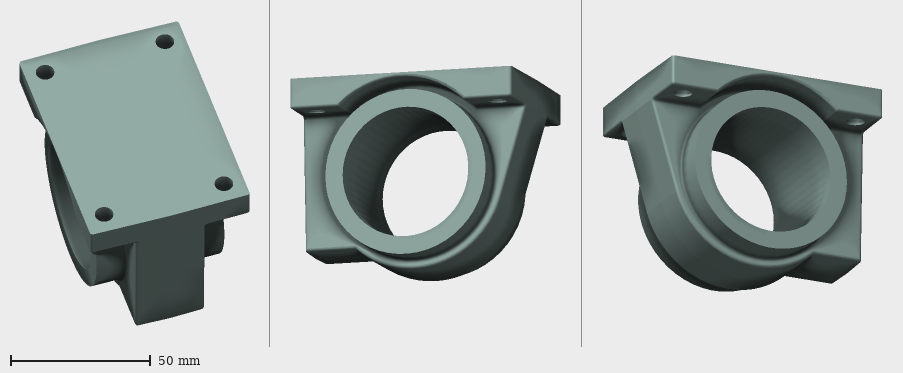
import cadquery as cq
import math

plate_length = 84.0
plate_width = 60.0
plate_thickness = 11.0
overall_height = 68.5
shell_radius = 33.5
tube_radius = 30.0
bore_radius = 23.5
tube_length = 48.0
web_width = 26.0
foot_depth = 25.0
hole_diameter = 6.6
hole_spacing_x = 68.0
hole_spacing_y = 45.0
draft_angle = 1.0
edge_radius = 1.0

half_length = plate_length / 2
half_width = plate_width / 2
half_web = web_width / 2
plate_bottom = -plate_thickness
axis_z = shell_radius - overall_height
foot_z = axis_z - foot_depth
draft_slope = math.tan(math.radians(draft_angle))
tolerance = 0.04


def make_plate():
    """Flat plate whose two short sides lean inwards from the parting plane."""
    end_half_length = half_length - half_width * draft_slope
    outline = [
        (half_length, 0),
        (end_half_length, half_width),
        (-end_half_length, half_width),
        (-half_length, 0),
        (-end_half_length, -half_width),
        (end_half_length, -half_width),
    ]
    return cq.Workplane("XY").polyline(outline).close().extrude(plate_bottom)


def axial_cylinder(radius, y_start, y_end):
    """Cylinder around the bore axis from y_start to y_end."""
    plane = cq.Workplane("XZ", origin=(0, y_start, axis_z))
    return plane.circle(radius).extrude(y_start - y_end)


def web_outline(y):
    """Closed web outline at the given Y, drawn in by the draft."""
    inset = abs(y) * draft_slope
    side_x = half_length - inset
    radius = shell_radius - inset
    bottom_z = foot_z + inset

    rise = plate_bottom - axis_z
    corner_angle = math.pi - math.atan2(rise, side_x)
    tangent_angle = corner_angle + math.acos(radius / math.hypot(side_x, rise))
    tangent_x = radius * math.cos(tangent_angle)
    tangent_z = axis_z + radius * math.sin(tangent_angle)

    foot_root_x = math.sqrt(radius**2 - (axis_z - bottom_z)**2)
    foot_tip_x = side_x - (plate_bottom - bottom_z) * draft_slope

    return (
        cq.Workplane("XZ", origin=(0, y, 0))
        .moveTo(-side_x, plate_bottom)
        .lineTo(tangent_x, tangent_z)
        .threePointArc((0, axis_z - radius), (foot_root_x, bottom_z))
        .lineTo(foot_tip_x, bottom_z)
        .lineTo(side_x, plate_bottom)
        .lineTo(side_x, -edge_radius)
        .lineTo(-side_x, -edge_radius)
        .close()
        .val()
    )


def make_web():
    """Two drafted halves meeting at the parting plane."""
    halves = [
        cq.Solid.makeLoft([web_outline(0), web_outline(side * half_web)], True)
        for side in (1, -1)
    ]
    return cq.Workplane(halves[0]).union(cq.Workplane(halves[1]))


def is_rounded(edge):
    """True for the edges that carry a casting round or root fillet."""
    box = edge.BoundingBox()
    center = edge.Center()
    nearest_y = min(abs(box.ymin), abs(box.ymax))
    flat_in_y = box.ylen < tolerance
    at_plate_bottom = abs(center.z - plate_bottom) < tolerance and box.zlen < tolerance

    on_plate_end = flat_in_y and abs(nearest_y - half_width) < tolerance
    on_mounting_face = box.zmin > -tolerance
    on_web_face = flat_in_y and abs(nearest_y - half_web) < tolerance
    on_plate_side = (
        at_plate_bottom
        and abs(center.x) > shell_radius
        and abs(nearest_y - half_web) < tolerance
    )
    return (on_plate_end and not on_mounting_face) or on_web_face or on_plate_side


body = make_plate()
for side in (1, -1):
    body = body.cut(axial_cylinder(shell_radius, side * half_web, side * half_width))
body = body.union(make_web())
body = body.union(axial_cylinder(tube_radius, -tube_length / 2, tube_length / 2))

rounded_edges = [edge for edge in body.edges().vals() if is_rounded(edge)]
body = body.newObject(rounded_edges).fillet(edge_radius)

bore = axial_cylinder(bore_radius, -half_width, half_width)
mounting_holes = (
    cq.Workplane("XY")
    .rect(hole_spacing_x, hole_spacing_y, forConstruction=True)
    .vertices()
    .circle(hole_diameter / 2)
    .extrude(plate_bottom)
)
result = body.cut(bore).cut(mounting_holes)